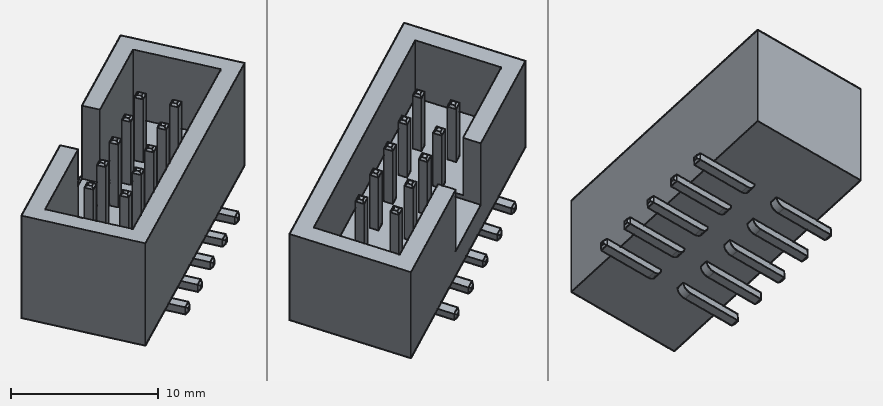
import cadquery as cq


pitch = 2.54
pins_per_row = 5
pin_width = 0.64
tip_length = 0.16
tip_width = pin_width / 2
foot_span = 11.6
bend_radius = pin_width
pin_recess = 0.32

body_length = 20.32
body_width = 8.9
body_height = 9.0
end_wall = 1.16
side_wall = 1.3
cavity_depth = 6.0

notch_width = 4.45
notch_depth = 6.42
notch_reach = 2.1

body_bottom = pin_width
body_top = body_bottom + body_height
pin_top = body_top - pin_recess
foot_end = foot_span / 2
row_x = pitch / 2


def box_between(x_range, y_range, z_range):
    """Axis-aligned box given its (low, high) limits on each axis."""
    size = [high - low for low, high in (x_range, y_range, z_range)]
    corner = (x_range[0], y_range[0], z_range[0])
    return cq.Workplane("XY").box(*size, centered=False).translate(corner)


def make_shroud():
    """Open-topped housing with the polarising notch."""
    half_width = body_width / 2
    half_length = body_length / 2
    cavity_half_width = half_width - side_wall
    cavity_half_length = half_length - end_wall
    shroud = box_between(
        (-half_width, half_width), (-half_length, half_length), (body_bottom, body_top)
    )
    cavity = box_between(
        (-cavity_half_width, cavity_half_width),
        (-cavity_half_length, cavity_half_length),
        (body_top - cavity_depth, body_top),
    )
    notch = box_between(
        (-half_width, notch_reach - half_width),
        (-notch_width / 2, notch_width / 2),
        (body_top - notch_depth, body_top),
    )
    return shroud.cut(cavity).cut(notch)


def make_tip(base_plane):
    """Tapered square tip standing on the given plane."""
    return (
        cq.Workplane(base_plane)
        .rect(pin_width, pin_width)
        .workplane(offset=tip_length)
        .rect(tip_width, tip_width)
        .loft(ruled=True)
    )


def make_contact():
    """L-shaped contact of the +X row at Y = 0: upright pin, rounded bend and foot."""
    inner_x = row_x - pin_width / 2
    outer_x = row_x + pin_width / 2
    pin_shoulder = pin_top - tip_length
    foot_shoulder = foot_end - tip_length
    bars = (
        cq.Workplane("XZ")
        .moveTo(inner_x, pin_shoulder)
        .lineTo(inner_x, bend_radius)
        .radiusArc((inner_x + bend_radius, 0), -bend_radius)
        .lineTo(foot_shoulder, 0)
        .lineTo(foot_shoulder, pin_width)
        .lineTo(outer_x, pin_width)
        .lineTo(outer_x, pin_shoulder)
        .close()
        .extrude(pin_width / 2, both=True)
    )
    pin_tip = make_tip(cq.Plane(origin=(row_x, 0, pin_shoulder)))
    foot_tip = make_tip(
        cq.Plane(origin=(foot_shoulder, 0, pin_width / 2), xDir=(0, 1, 0), normal=(1, 0, 0))
    )
    return bars.union(pin_tip).union(foot_tip)


result = make_shroud()
right_contact = make_contact()
left_contact = right_contact.mirror("YZ")
for index in range(pins_per_row):
    pin_y = (index - (pins_per_row - 1) / 2) * pitch
    for contact in (right_contact, left_contact):
        result = result.union(contact.translate((0, pin_y, 0)))